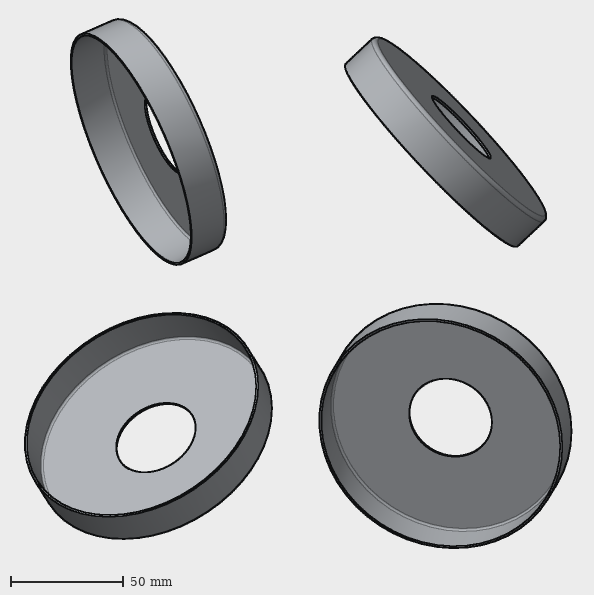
import cadquery as cq

outer_diameter = 112.0
depth = 18.4
wall = 1.0
hole_diameter = 38.1
outer_corner_radius = 2.0
inner_corner_radius = outer_corner_radius - wall

half_depth = depth / 2


def cylinder_along_y(diameter, start_y, length):
    """Solid cylinder on the Y axis, growing toward -Y from start_y."""
    plane = cq.Workplane("XZ", origin=(0, start_y, 0))
    return plane.circle(diameter / 2).extrude(length)


body = cylinder_along_y(outer_diameter, half_depth, depth)
body = body.faces(">Y").edges().fillet(outer_corner_radius)

cavity = cylinder_along_y(outer_diameter - 2 * wall, half_depth - wall, depth - wall)
cavity = cavity.faces(">Y").edges().fillet(inner_corner_radius)

hole = cylinder_along_y(hole_diameter, half_depth, depth)

result = body.cut(cavity).cut(hole)